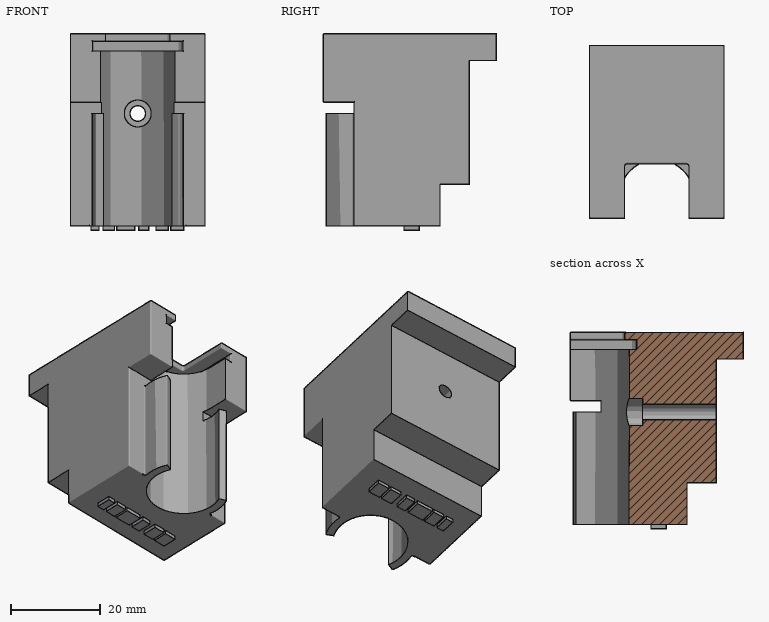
import cadquery as cq
import math


width = 30.0
depth = 38.55
height = 43.75
pad_height = 0.9
edge_radius = 0.25
front_y = -4.75
back_y = front_y + depth

flange_height = 6.0
flange_depth = 6.0
overhang_height = 15.25
overhang_depth = 6.82
lower_step_height = 9.3
lower_step_depth = 6.5
body_front_y = front_y + overhang_depth
body_back_y = back_y - flange_depth
lower_back_y = body_back_y - lower_step_depth
overhang_z = height - overhang_height

bore_diameter = 16.65
bore_radius = bore_diameter / 2
clip_radius = 10.2
clip_height = 25.05
tip_angle = 24.2

slot_half_width = 7.15
slot_back_y = front_y + 12.1
slot_corner_radius = 0.5
groove_half_width = 10.0
groove_back_y = groove_half_width
groove_corner_radius = 1.0
groove_top_z = height - 1.7
groove_floor_z = height - 3.8

screw_z = height - 17.75
screw_hole_diameter = 3.4
screw_head_diameter = 6.0
screw_head_depth = 3.0

pad_front_y = front_y + 17.95
pad_length = 3.5
pad_spans = [
    (-10.4, -8.6),
    (-7.8, -5.15),
    (-4.72, -0.6),
    (0.2, 2.45),
    (4.02, 6.82),
    (7.3, 10.3),
]

overshoot = 0.45
tolerance = 0.005


def is_near(value, target):
    return abs(value - target) < tolerance


def box(x_min, x_max, y_min, y_max, z_min, z_max):
    size = (x_max - x_min, y_max - y_min, z_max - z_min)
    return cq.Workplane("XY").box(*size, centered=False).translate((x_min, y_min, z_min))


def make_block():
    """Stepped block with its front, side and underside edges rounded."""
    outline = [
        (front_y, height),
        (back_y, height),
        (back_y, height - flange_height),
        (body_back_y, height - flange_height),
        (body_back_y, pad_height + lower_step_height),
        (lower_back_y, pad_height + lower_step_height),
        (lower_back_y, pad_height),
        (body_front_y, pad_height),
        (body_front_y, overhang_z),
        (front_y, overhang_z),
    ]
    block = (
        cq.Workplane("YZ").polyline(outline).close()
        .extrude(width / 2, both=True)
    )

    def is_rounded(edge):
        center = edge.Center()
        on_side = is_near(abs(center.x), width / 2)
        on_front = is_near(center.y, front_y)
        on_body_front = is_near(center.y, body_front_y)
        on_top = is_near(center.z, height)
        on_bottom = is_near(center.z, pad_height)
        under_overhang = is_near(center.z, overhang_z)
        if on_side:
            return on_front or on_body_front or on_top or on_bottom or under_overhang
        return on_front or (on_body_front and on_bottom)

    edges = [edge for edge in block.edges().vals() if is_rounded(edge)]
    return block.newObject(edges).fillet(edge_radius)


def make_clip():
    """Two curved arms round the bore, with rounded roots and outer tip edges."""
    mouth_x = 3 * clip_radius
    mouth_y = -mouth_x * math.tan(math.radians(tip_angle))
    mouth = (
        cq.Workplane("XY")
        .polyline([(0, 0), (mouth_x, mouth_y), (-mouth_x, mouth_y)]).close()
        .extrude(clip_height)
    )
    ring = cq.Workplane("XY").circle(clip_radius).extrude(clip_height)
    bore = cq.Workplane("XY").circle(bore_radius).extrude(clip_height)
    root_half_width = clip_radius + 2 * edge_radius
    root = box(-root_half_width, root_half_width, body_front_y, clip_radius, 0, clip_height)
    clip = ring.union(root).cut(mouth).cut(bore)

    def is_rounded(edge):
        center = edge.Center()
        on_outside = is_near(math.hypot(center.x, center.y), clip_radius)
        return on_outside and center.y < body_front_y + tolerance

    edges = [edge for edge in clip.edges("|Z").vals() if is_rounded(edge)]
    return clip.newObject(edges).fillet(edge_radius).translate((0, 0, pad_height))


def make_bore():
    """Round bore, open to the front above the clip."""
    bore = cq.Workplane("XY").circle(bore_radius).extrude(groove_floor_z)
    opening = box(-bore_radius, bore_radius, front_y - overshoot, 0,
                  overhang_z, groove_floor_z)
    return bore.union(opening)


def make_pocket(half_width, rear_y, z_min, z_max, corner_radius):
    """Pocket open to the front, with rounded rear corners."""
    pocket = box(-half_width, half_width, front_y - overshoot, rear_y, z_min, z_max)
    return pocket.edges("|Z and >Y").fillet(corner_radius)


def round_slot_and_groove(body):
    """Round the rims of the slot and the front rim of the groove."""
    def is_rounded(edge):
        bounds = edge.BoundingBox()
        half_reach = max(abs(bounds.xmin), abs(bounds.xmax))
        in_slot = half_reach < slot_half_width + tolerance
        in_groove = half_reach < groove_half_width + tolerance
        level = bounds.zlen < tolerance
        on_slot_face = is_near(bounds.zmin, height) or is_near(bounds.zmin, groove_top_z)
        on_front = is_near(bounds.ymin, front_y) and is_near(bounds.ymax, front_y)
        above_floor = bounds.zmin > groove_floor_z - tolerance
        slot_rim = in_slot and level and on_slot_face
        front_rim = in_groove and on_front and above_floor
        return slot_rim or front_rim

    edges = [edge for edge in body.edges().vals() if is_rounded(edge)]
    return body.newObject(edges).fillet(edge_radius)


def make_screw_hole():
    """Counterbored hole running back from the bore axis through the block."""
    hole_length = body_back_y + overshoot
    head_length = bore_radius + screw_head_depth
    hole = cq.Workplane("XZ").circle(screw_hole_diameter / 2).extrude(-hole_length)
    head = cq.Workplane("XZ").circle(screw_head_diameter / 2).extrude(-head_length)
    return hole.union(head).translate((0, 0, screw_z))


def make_pads():
    """Row of plain raised pads under the foot."""
    pads = cq.Workplane("XY")
    for x_start, x_end in pad_spans:
        pads = pads.add(box(x_start, x_end, pad_front_y, pad_front_y + pad_length, 0, pad_height))
    return pads.combine()


slot = make_pocket(slot_half_width, slot_back_y, groove_floor_z,
                   height + overshoot, slot_corner_radius)
groove = make_pocket(groove_half_width, groove_back_y, groove_floor_z,
                     groove_top_z, groove_corner_radius)

body = make_block().cut(make_bore()).cut(slot).cut(groove)
body = round_slot_and_groove(body)
body = body.union(make_clip()).cut(make_screw_hole())
result = body.union(make_pads())